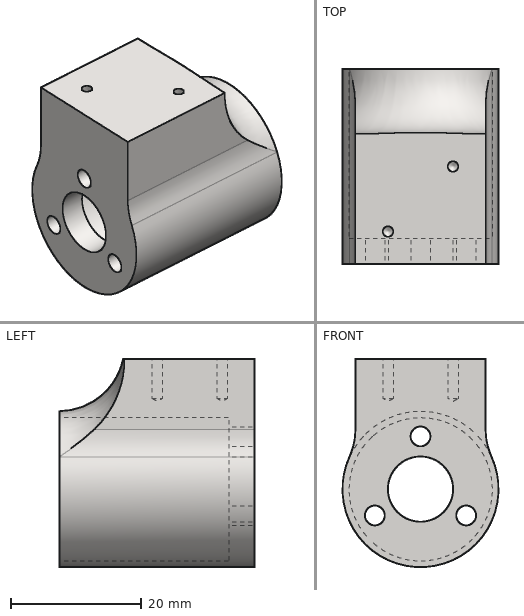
import cadquery as cq
import math

total_height = 32.0
barrel_radius = 0.375 * total_height
barrel_length = 2.5 * barrel_radius
block_width = 20.0
blend_radius = 9.98
block_length = barrel_length - blend_radius
block_top = total_height - barrel_radius

through_all = 2 * total_height
front_wall = 4.0
cavity_radius = 11.0
bore_radius = 5.0

screw_count = 3
screw_radius = 1.5
screw_circle_radius = 8.1

pilot_radius = 0.8
pilot_depth = 6.0
pilot_point_angle = 118.0
pilot_offset = 5.0


def y_cylinder(radius, length, start=0.0, x=0.0, z=0.0):
    """Cylinder along +Y beginning at y = start."""
    return cq.Workplane(cq.Solid.makeCylinder(radius, length, cq.Vector(x, start, z), cq.Vector(0, 1, 0)))


def make_body():
    """Teardrop-like section: a round barrel blended into a flat-sided block."""
    half_width = block_width / 2
    blend_x = half_width + blend_radius
    centre_distance = barrel_radius + blend_radius
    blend_z = math.sqrt(centre_distance**2 - blend_x**2)
    touch_x = blend_x * barrel_radius / centre_distance
    touch_z = blend_z * barrel_radius / centre_distance
    sweep_angle = math.atan2(blend_z, blend_x)
    mid_x = blend_x - blend_radius * math.cos(sweep_angle / 2)
    mid_z = blend_z - blend_radius * math.sin(sweep_angle / 2)
    return (
        cq.Workplane("XZ")
        .moveTo(-half_width, block_top)
        .lineTo(half_width, block_top)
        .lineTo(half_width, blend_z)
        .threePointArc((mid_x, mid_z), (touch_x, touch_z))
        .threePointArc((0, -barrel_radius), (-touch_x, touch_z))
        .threePointArc((-mid_x, mid_z), (-half_width, blend_z))
        .close()
        .extrude(-barrel_length)
    )


def make_rear_sweep():
    """Revolved cutter leaving a concave flare from the barrel up to the block."""
    arc_centre_radius = barrel_radius + blend_radius
    diagonal = blend_radius * math.sqrt(0.5)
    return (
        cq.Workplane("XY")
        .moveTo(barrel_radius, barrel_length)
        .threePointArc(
            (arc_centre_radius - diagonal, barrel_length - diagonal),
            (arc_centre_radius, block_length),
        )
        .lineTo(through_all, block_length)
        .lineTo(through_all, barrel_length)
        .close()
        .revolve(360, (0, 0, 0), (0, 1, 0))
    )


def make_pilot_hole(x, y):
    """Blind drilled hole with a conical bottom, entering from the block top."""
    tip_length = pilot_radius / math.tan(math.radians(pilot_point_angle / 2))
    return (
        cq.Workplane("XZ")
        .moveTo(0, 0)
        .lineTo(pilot_radius, 0)
        .lineTo(pilot_radius, -pilot_depth)
        .lineTo(0, -pilot_depth - tip_length)
        .close()
        .revolve(360, (0, 0, 0), (0, 1, 0))
        .translate((x, y, block_top))
    )


result = make_body().cut(make_rear_sweep())

result = result.cut(y_cylinder(cavity_radius, barrel_length, front_wall))
result = result.cut(y_cylinder(bore_radius, through_all))

for index in range(screw_count):
    angle = math.radians(90 + index * 360 / screw_count)
    screw_x = screw_circle_radius * math.cos(angle)
    screw_z = screw_circle_radius * math.sin(angle)
    result = result.cut(y_cylinder(screw_radius, through_all, 0, screw_x, screw_z))

for side in (-1, 1):
    result = result.cut(make_pilot_hole(side * pilot_offset, block_length / 2 + side * pilot_offset))